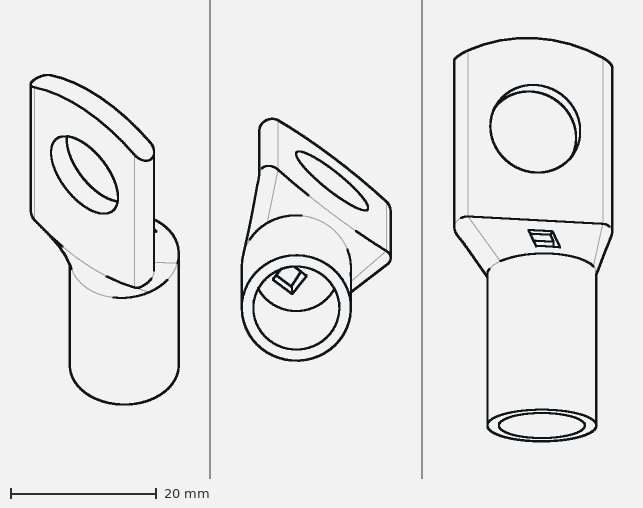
import cadquery as cq
import math

total_height = 57.0

palm_width = 22.0
palm_thickness = 3.2
palm_half_width = palm_width / 2
palm_flat_half_width = palm_half_width - palm_thickness / 2
tip_sag = 3.2
bolt_hole_diameter = 12.55
bolt_hole_height = 44.0

palm_front_low = 26.45
palm_front_corner = 28.35
palm_back_low = 30.9

cut_margin = 0.55

barrel_diameter = 15.0
barrel_radius = barrel_diameter / 2
barrel_setback = 0.5
barrel_axis_y = barrel_setback + barrel_radius
barrel_back_y = barrel_setback + barrel_diameter
barrel_front_top = 21.1
barrel_back_top = 22.4
bore_radius = barrel_radius - palm_thickness / 2
bore_depth = 20.5

back_corner_angle = 60.0
front_corner_angle = 110.0

window_width = 3.35
window_front_y = 7.0
window_back_y = 12.8
window_reach = 1.7
shaft_front_y = 7.85
shaft_back_y = window_back_y - window_reach


def arch_radius(half_chord, sag):
    return (half_chord**2 + sag**2) / (2 * sag)


def arch_drop(radius, x):
    """Distance an arch of this radius has moved from its crown level at x."""
    return radius - math.sqrt(radius**2 - x**2)


def section_below(half_width, side_z, middle_z, y):
    """Closed wire at depth y: flat bottom at Z = 0, arched or straight top edge."""
    left_top = cq.Vector(-half_width, y, side_z)
    right_top = cq.Vector(half_width, y, side_z)
    left_base = cq.Vector(-half_width, y, 0)
    right_base = cq.Vector(half_width, y, 0)
    if side_z == middle_z:
        top = cq.Edge.makeLine(left_top, right_top)
    else:
        top = cq.Edge.makeThreePointArc(left_top, cq.Vector(0, y, middle_z), right_top)
    sides = [
        cq.Edge.makeLine(right_top, right_base),
        cq.Edge.makeLine(right_base, left_base),
        cq.Edge.makeLine(left_base, left_top),
    ]
    return cq.Wire.assembleEdges([top] + sides)


def make_palm():
    """Plate with full-round sides, an arched tip and a sculpted lower end."""
    plate = (
        cq.Workplane("XY")
        .center(0, palm_thickness / 2)
        .slot2D(palm_width, palm_thickness)
        .extrude(total_height)
    )
    tip_side_z = total_height - tip_sag
    tip_profile = (
        cq.Workplane("XZ")
        .moveTo(-palm_half_width, 0)
        .lineTo(-palm_half_width, tip_side_z)
        .threePointArc((0, total_height), (palm_half_width, tip_side_z))
        .lineTo(palm_half_width, 0)
        .close()
        .extrude(-palm_thickness)
    )
    front_radius = arch_radius(palm_flat_half_width, palm_front_corner - palm_front_low)
    front_side_z = palm_front_low + arch_drop(front_radius, palm_half_width + cut_margin)
    below_palm = cq.Solid.makeLoft(
        [
            section_below(palm_half_width + cut_margin, front_side_z, palm_front_low, 0),
            section_below(palm_half_width + cut_margin, palm_back_low, palm_back_low, palm_thickness),
        ],
        True,
    )
    return plate.intersect(tip_profile).cut(cq.Workplane(obj=below_palm))


def make_barrel():
    """Round bar from Z = 0 up to the slanted rim."""
    blank = cq.Workplane("XY").center(0, barrel_axis_y).circle(barrel_radius).extrude(barrel_back_top)
    side_profile = (
        cq.Workplane("YZ")
        .polyline(
            [
                (barrel_setback, 0),
                (barrel_back_y, 0),
                (barrel_back_y, barrel_back_top),
                (barrel_setback, barrel_front_top),
            ]
        )
        .close()
        .extrude(barrel_radius, both=True)
    )
    return blank.intersect(side_profile)


def rim_arc(start_angle, end_angle):
    """Stretch of the slanted elliptical rim of the barrel; angle 0 is the back, 90 is +X."""
    rise = (barrel_back_top - barrel_front_top) / barrel_diameter
    return cq.Edge.makeEllipse(
        barrel_radius * math.hypot(1, rise),
        barrel_radius,
        cq.Vector(0, barrel_axis_y, (barrel_front_top + barrel_back_top) / 2),
        cq.Vector(0, rise, -1),
        cq.Vector(0, 1, rise),
        start_angle,
        end_angle,
    )


def make_transition(palm):
    """Straight-line blend from the lower end of the palm down to the barrel rim."""
    palm_end = palm.faces("<Z")
    rim_for_edge = [
        (palm_end.edges(">Y"), rim_arc(-back_corner_angle, back_corner_angle)),
        (palm_end.edges(">X"), rim_arc(back_corner_angle, front_corner_angle)),
        (palm_end.edges("<Y"), rim_arc(front_corner_angle, 360 - front_corner_angle)),
        (palm_end.edges("<X"), rim_arc(360 - front_corner_angle, 360 - back_corner_angle)),
    ]
    walls = [cq.Face.makeRuledSurface(edge.val(), rim) for edge, rim in rim_for_edge]
    floor = cq.Face.makeFromWires(cq.Wire.assembleEdges([rim for _, rim in rim_for_edge]))
    shell = cq.Shell.makeShell(walls + [floor, palm_end.val()])
    return cq.Workplane(obj=cq.Solid.makeSolid(shell))


def slope_height(y):
    """Height of the sloping back of the transition on the middle plane X = 0."""
    slope = (palm_back_low - barrel_back_top) / (barrel_back_y - palm_thickness)
    return palm_back_low - slope * (y - palm_thickness)


def make_window():
    """Slanted block with a level sill and lintel, open to the back."""
    sill_z = slope_height(window_back_y)
    lintel_z = slope_height(window_front_y)
    return (
        cq.Workplane("YZ")
        .moveTo(barrel_back_y, sill_z)
        .lineTo(shaft_back_y, sill_z)
        .lineTo(window_front_y - window_reach, lintel_z)
        .lineTo(barrel_back_y, lintel_z)
        .close()
        .extrude(window_width / 2, both=True)
    )


def make_shaft():
    """Upright opening from the bore to the end wall of the window."""
    return (
        cq.Workplane("YZ")
        .moveTo(shaft_front_y, 0)
        .lineTo(shaft_back_y, 0)
        .lineTo(shaft_back_y, slope_height(window_back_y))
        .lineTo(shaft_front_y, slope_height(shaft_front_y + window_reach))
        .close()
        .extrude(window_width / 2, both=True)
    )


def make_bore():
    return cq.Workplane("XY").center(0, barrel_axis_y).circle(bore_radius).extrude(bore_depth)


def make_bolt_hole():
    return (
        cq.Workplane("XZ")
        .center(0, bolt_hole_height)
        .circle(bolt_hole_diameter / 2)
        .extrude(-palm_thickness)
    )


palm = make_palm()
result = make_barrel().union(make_transition(palm)).union(palm)
for opening in (make_bore(), make_bolt_hole(), make_window(), make_shaft()):
    result = result.cut(opening)